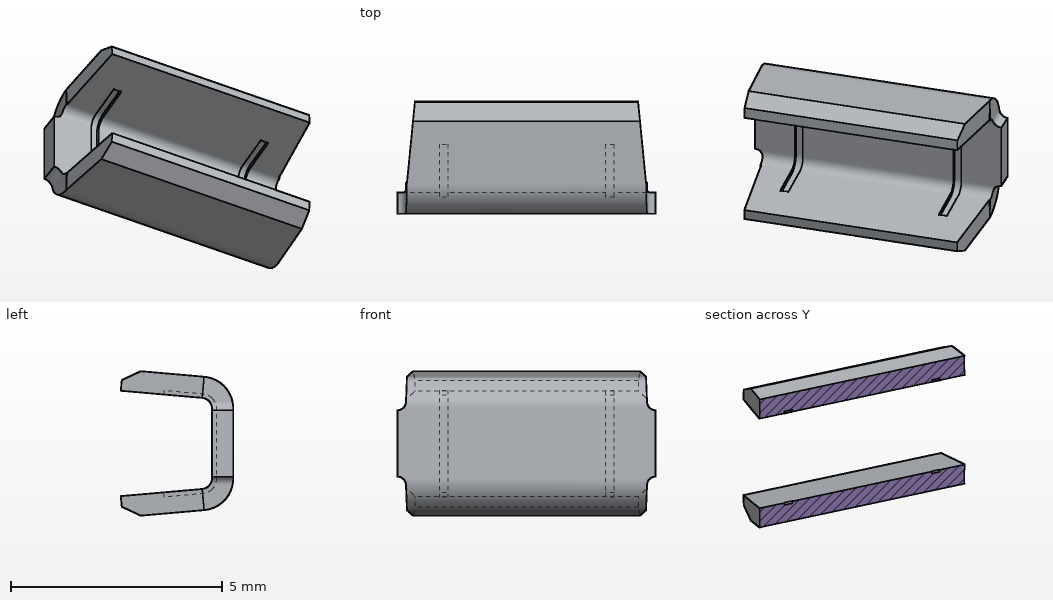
import cadquery as cq
import math

LENGTH = 6.12
DEPTH = 2.67
THICKNESS = 0.51
INNER_RADIUS = 0.25
OUTER_RADIUS = INNER_RADIUS + THICKNESS
FLANGE_TILT = math.radians(5)
WEB_HALF_HEIGHT = 0.825

TIP_BEVEL_DEPTH = 0.25
TIP_BEVEL_LENGTH = 0.435

TAB_HALF_HEIGHT = 0.79
RELIEF_RADIUS = 0.195
FLANGE_HALF_AT_WEB = 2.86
FLANGE_HALF_AT_BEND = 2.835
FLANGE_HALF_AT_TIP = 2.645

GROOVE_OUTER_X = 2.07
GROOVE_WIDTH = 0.2
GROOVE_DEPTH = 0.105
GROOVE_RUN = 0.92

CUT_MARGIN = 0.305

def bend_point(radius, angle):
    """Point (y, z) on the upper bend, with the angle measured up from the outside of the web."""
    y = OUTER_RADIUS - radius * math.cos(angle)
    z = WEB_HALF_HEIGHT + radius * math.sin(angle)
    return y, z

BEND_ANGLE = math.pi / 2 - FLANGE_TILT
OUTER_BEND_END = bend_point(OUTER_RADIUS, BEND_ANGLE)
INNER_BEND_END = bend_point(INNER_RADIUS, BEND_ANGLE)
FLANGE_LENGTH = (DEPTH - INNER_BEND_END[0]) / math.cos(FLANGE_TILT)

def flange_point(along, height):
    """Point (y, z) on the upper flange, from the bend end along and out from its inner face."""
    y, z = INNER_BEND_END
    y += along * math.cos(FLANGE_TILT) - height * math.sin(FLANGE_TILT)
    z += along * math.sin(FLANGE_TILT) + height * math.cos(FLANGE_TILT)
    return y, z

def upper_half():
    """Web above mid-height, bend and leaning flange, over the full length."""
    return (
        cq.Workplane("YZ")
        .moveTo(0, 0)
        .lineTo(0, WEB_HALF_HEIGHT)
        .threePointArc(bend_point(OUTER_RADIUS, BEND_ANGLE / 2), OUTER_BEND_END)
        .lineTo(*flange_point(FLANGE_LENGTH - TIP_BEVEL_LENGTH, THICKNESS))
        .lineTo(*flange_point(FLANGE_LENGTH, THICKNESS - TIP_BEVEL_DEPTH))
        .lineTo(*flange_point(FLANGE_LENGTH, 0))
        .lineTo(*INNER_BEND_END)
        .threePointArc(bend_point(INNER_RADIUS, BEND_ANGLE / 2), (THICKNESS, WEB_HALF_HEIGHT))
        .lineTo(THICKNESS, 0)
        .close()
        .extrude(LENGTH / 2, both=True)
    )

def bend_relief():
    """Cutter beside one end of the bend, meeting the web tab in a concave quarter round."""
    outside = LENGTH / 2 + CUT_MARGIN
    round_start_x = FLANGE_HALF_AT_WEB + RELIEF_RADIUS
    round_end_z = TAB_HALF_HEIGHT + RELIEF_RADIUS
    round_middle = (
        round_start_x - RELIEF_RADIUS * math.sin(math.pi / 4),
        round_end_z - RELIEF_RADIUS * math.cos(math.pi / 4),
    )
    return (
        cq.Workplane("XZ")
        .moveTo(outside, TAB_HALF_HEIGHT)
        .lineTo(round_start_x, TAB_HALF_HEIGHT)
        .threePointArc(round_middle, (FLANGE_HALF_AT_WEB, round_end_z))
        .lineTo(FLANGE_HALF_AT_BEND, OUTER_BEND_END[1])
        .lineTo(FLANGE_HALF_AT_BEND, DEPTH)
        .lineTo(outside, DEPTH)
        .close()
        .extrude(-DEPTH)
    )

def flange_taper():
    """Cutter that narrows one end of the flange from the bend to the tip, square to its faces."""
    outside = LENGTH / 2 + CUT_MARGIN
    flange_normal = (0, -math.sin(FLANGE_TILT), math.cos(FLANGE_TILT))
    inner_face = cq.Plane(origin=(0, *INNER_BEND_END), xDir=(1, 0, 0), normal=flange_normal)
    return (
        cq.Workplane(inner_face)
        .moveTo(FLANGE_HALF_AT_BEND, 0)
        .lineTo(FLANGE_HALF_AT_TIP, FLANGE_LENGTH)
        .lineTo(outside, FLANGE_LENGTH)
        .lineTo(outside, 0)
        .close()
        .extrude(THICKNESS)
    )

def grip_groove():
    """Cutter for half of one shallow groove that runs around the inside of the channel."""
    floor_radius = INNER_RADIUS + GROOVE_DEPTH
    floor_y = THICKNESS - GROOVE_DEPTH
    end_on_face = flange_point(GROOVE_RUN, 0)
    return (
        cq.Workplane("YZ", origin=(GROOVE_OUTER_X - GROOVE_WIDTH, 0, 0))
        .moveTo(floor_y, 0)
        .lineTo(floor_y, WEB_HALF_HEIGHT)
        .threePointArc(bend_point(floor_radius, BEND_ANGLE / 2), bend_point(floor_radius, BEND_ANGLE))
        .lineTo(*flange_point(GROOVE_RUN, GROOVE_DEPTH))
        .lineTo(*end_on_face)
        .lineTo(end_on_face[0], 0)
        .close()
        .extrude(GROOVE_WIDTH)
    )

half = upper_half()
for cutter in (bend_relief(), flange_taper(), grip_groove()):
    half = half.cut(cutter).cut(cutter.mirror("YZ"))

result = half.union(half.mirror("XY"))